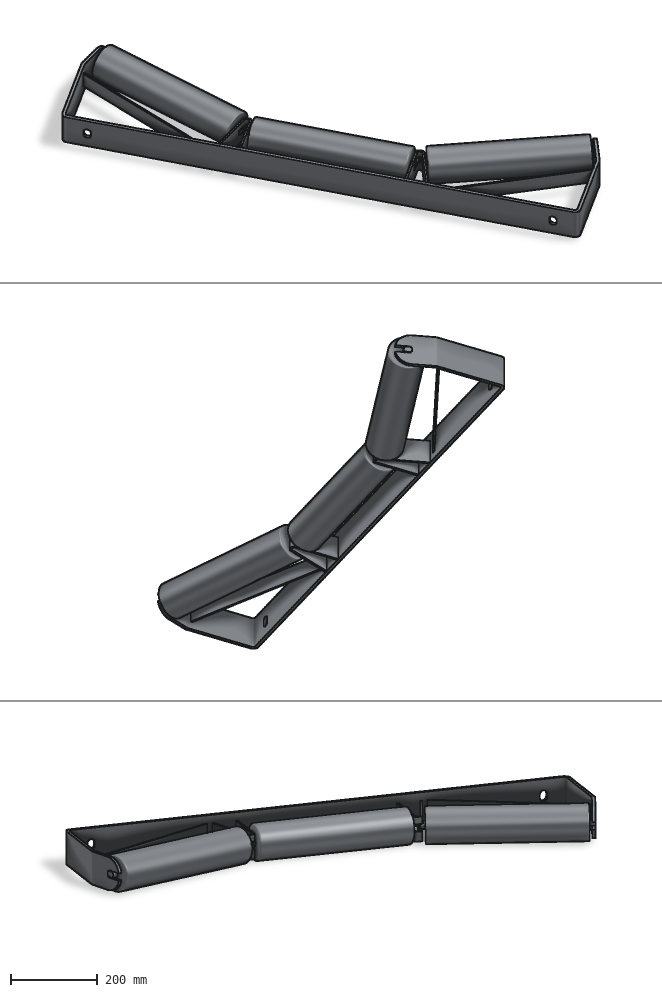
import cadquery as cq
import math


frame_length = 1240.0
bar_width = 80.0
bar_thickness = 8.0
bend_radius = 14.0
wing_angle = 20.0
wing_bend_y = 183.0
wing_length = 97.0
mount_hole_x = 557.0
mount_hole_width = 18.0
mount_hole_length = 26.0

roller_diameter = 89.0
roller_length = 380.0
roller_end_radius = 4.0
shaft_diameter = 20.0
shaft_flat_width = 14.0
shaft_shoulder_gap = 2.0
roller_gap = 6.0
middle_roller_y = 100.0
outer_roller_x = 406.0
outer_roller_y = 175.8
forward_tilt = 1.0
outer_shaft_z = bar_width / 2

bracket_thickness = 5.0
bracket_height = 60.0
bracket_top_y = 127.0
bracket_bend_radius = 8.0
slot_width = 18.0
slot_clearance = 0.7
brace_thickness = 4.0
brace_width = 40.0
brace_foot_x = 271.0
brace_angle = 26.0

half_length = frame_length / 2
mid_z = bar_width / 2
sin_wing = math.sin(math.radians(wing_angle))
cos_wing = math.cos(math.radians(wing_angle))
tan_wing = sin_wing / cos_wing
tan_half_wing = math.tan(math.radians(wing_angle / 2))
half_roller = roller_length / 2
tilt_drop = (half_roller + roller_gap) * math.sin(math.radians(forward_tilt))
outer_roller_z = outer_shaft_z - tilt_drop
middle_roller_z = outer_shaft_z - 2 * tilt_drop


def mirrored(body):
    """The same body on the other side of the YZ plane."""
    return body.mirror("YZ")


def prism(points, z_low, height):
    """A plate outline in XY, extruded along Z."""
    return cq.Workplane("XY").workplane(offset=z_low).polyline(points).close().extrude(height)


def slot_cutter(x, y, z, depth, angle):
    """Open-topped shaft slot with a round floor.

    It passes through a plate along X at (x, y, z), runs toward +Y, and is turned about Z by angle.
    """
    reach = bar_width
    floor = shaft_diameter / 2 + slot_clearance - slot_width / 2
    round_floor = cq.Workplane("YZ").center(-floor, 0).circle(slot_width / 2)
    straight = cq.Workplane("YZ").center(-floor + reach / 2, 0).rect(reach, slot_width)
    cutter = round_floor.extrude(depth / 2, both=True).union(straight.extrude(depth / 2, both=True))
    return cutter.rotate((0, 0, 0), (0, 0, 1), angle).translate((x, y, z))


def outer_axis_point(along):
    """XY place on the left outer roller's axis, measured from its middle toward the centre bracket."""
    return (-outer_roller_x + along * cos_wing, outer_roller_y - along * sin_wing)


def round_bends(body, corners, radius):
    """Round the upright edges at these XY corners and at their mirror images."""
    for x, y in corners:
        for side in (-1, 1):
            corner = cq.selectors.NearestToPointSelector((side * x, y, mid_z))
            body = body.edges("|Z").edges(corner).fillet(radius)
    return body


def make_frame():
    """Bent flat bar: base, two uprights and two inward-leaning wings with open shaft slots."""
    inner = half_length - bar_thickness
    inner_bend_y = wing_bend_y - bar_thickness * tan_half_wing
    tip_x = half_length - wing_length * sin_wing
    tip_y = wing_bend_y + wing_length * cos_wing
    outer_side = [(half_length, 0), (half_length, wing_bend_y), (tip_x, tip_y)]
    inner_side = [
        (tip_x - bar_thickness * cos_wing, tip_y - bar_thickness * sin_wing),
        (inner, inner_bend_y),
        (inner, bar_thickness),
    ]
    right_half = outer_side + inner_side
    left_half = [(-x, y) for x, y in reversed(right_half)]
    body = prism(right_half + left_half, 0, bar_width)

    inside_radius = bend_radius - bar_thickness
    body = round_bends(body, [(half_length, 0), (half_length, wing_bend_y)], bend_radius)
    body = round_bends(body, [(inner, bar_thickness), (inner, inner_bend_y)], inside_radius)

    tip_radius = bar_width / 2
    blank = cq.Workplane("YZ").rect(2 * tip_radius, bar_width).extrude(2 * bar_thickness, both=True)
    disc = cq.Workplane("YZ").center(-tip_radius, 0).circle(tip_radius).extrude(2 * bar_thickness, both=True)
    trim = blank.cut(disc).rotate((0, 0, 0), (0, 0, 1), wing_angle).translate((tip_x, tip_y, mid_z))
    slot_x, slot_y = outer_axis_point(-half_roller - roller_gap - bar_thickness / 2)
    slot = slot_cutter(slot_x, slot_y, outer_shaft_z, 3 * bar_thickness, -wing_angle)
    body = body.cut(trim).cut(mirrored(trim)).cut(slot).cut(mirrored(slot))

    holes = (
        cq.Workplane("XZ")
        .pushPoints([(-mount_hole_x, mid_z), (mount_hole_x, mid_z)])
        .slot2D(mount_hole_length, mount_hole_width, 90)
        .extrude(-bar_thickness)
    )
    return body.cut(holes)


def make_left_bracket():
    """Inverted V plate that carries the inner shaft ends of the left and middle rollers."""
    base_y = bar_thickness
    upright_x = -half_roller - roller_gap
    face_x, face_y = outer_axis_point(half_roller + roller_gap)

    def slanted_x(y, depth):
        """X on the slanted leg at height y, this deep behind its roller-side face."""
        return face_x + (y - face_y) * tan_wing + depth / cos_wing

    inside_y = bracket_top_y - bracket_thickness
    outside = [
        (slanted_x(base_y, 0), base_y),
        (slanted_x(bracket_top_y, 0), bracket_top_y),
        (upright_x, bracket_top_y),
        (upright_x, base_y),
    ]
    inside = [
        (upright_x - bracket_thickness, base_y),
        (upright_x - bracket_thickness, inside_y),
        (slanted_x(inside_y, bracket_thickness), inside_y),
        (slanted_x(base_y, bracket_thickness), base_y),
    ]
    body = prism(outside, 0, bracket_height).edges("|Z and >Y").fillet(bracket_bend_radius)
    inside_radius = bracket_bend_radius - bracket_thickness
    hollow = prism(inside, 0, bracket_height).edges("|Z and >Y").fillet(inside_radius)
    body = body.cut(hollow)

    middle_slot = slot_cutter(
        upright_x - bracket_thickness / 2, middle_roller_y, middle_roller_z, 2 * bracket_thickness, 0)
    slot_x, slot_y = outer_axis_point(half_roller + roller_gap + bracket_thickness / 2)
    outer_slot = slot_cutter(slot_x, slot_y, middle_roller_z, 2 * bracket_thickness, -wing_angle)
    return body.cut(middle_slot).cut(outer_slot)


def make_left_brace():
    """Sloping strip between the upright and the base bar, cut flush at both ends."""
    slope = math.tan(math.radians(brace_angle))
    rise = brace_thickness / math.cos(math.radians(brace_angle))
    end_x = -half_length + bar_thickness
    top_y = bar_thickness + (-brace_foot_x - end_x) * slope
    points = [
        (-brace_foot_x, bar_thickness),
        (end_x, top_y),
        (end_x, top_y - rise),
        (-brace_foot_x - rise / slope, bar_thickness),
    ]
    return prism(points, mid_z - brace_width / 2, brace_width)


def make_roller(left_plate, right_plate):
    """Roller along X about the origin; its shaft ends flush with plates of these thicknesses."""
    shell = cq.Workplane("YZ", origin=(-half_roller, 0, 0)).circle(roller_diameter / 2).extrude(roller_length)
    shell = shell.edges().fillet(roller_end_radius)
    round_length = roller_length + 2 * (roller_gap - shaft_shoulder_gap)
    round_shaft = cq.Workplane("YZ").circle(shaft_diameter / 2).extrude(round_length / 2, both=True)
    left_end = half_roller + roller_gap + left_plate
    right_end = half_roller + roller_gap + right_plate
    flatted_shaft = (
        cq.Workplane("YZ", origin=(-left_end, 0, 0))
        .circle(shaft_diameter / 2)
        .extrude(left_end + right_end)
    )
    flats = cq.Workplane("XY").box(2 * left_end + 2 * right_end, shaft_diameter, shaft_flat_width)
    return shell.union(round_shaft).union(flatted_shaft.intersect(flats))


def make_left_roller():
    """Outer roller, tilted forward and leaned to the wing angle."""
    return (
        make_roller(bar_thickness, bracket_thickness)
        .rotate((0, 0, 0), (0, 1, 0), forward_tilt)
        .rotate((0, 0, 0), (0, 0, 1), -wing_angle)
        .translate((-outer_roller_x, outer_roller_y, outer_roller_z))
    )


frame = make_frame()
middle_roller = make_roller(bracket_thickness, bracket_thickness)
middle_roller = middle_roller.translate((0, middle_roller_y, middle_roller_z))
bodies = [*frame.solids().vals(), *middle_roller.solids().vals()]
for left_body in (make_left_bracket(), make_left_brace(), make_left_roller()):
    bodies += [*left_body.solids().vals(), *mirrored(left_body).solids().vals()]

result = cq.Compound.makeCompound(bodies)